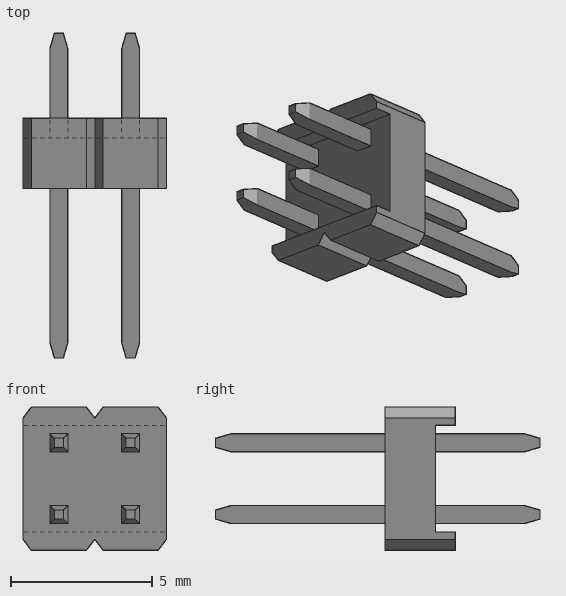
import cadquery as cq

pitch = 2.54
cells = 2
body_depth = 2.5
pin_length = 11.5
front_pin_length = 6.0
pin_width = 0.64
tip_width = 0.32
tip_length = 0.55
corner_x = 0.3
corner_z = 0.39
channel_depth = 0.7
channel_height = 3.77

body_size = cells * pitch
half_body = body_size / 2
body_front = -pin_length / 2 + front_pin_length
body_back = body_front + body_depth
cell_centers = [(i - (cells - 1) / 2) * pitch for i in range(cells)]


def make_body():
    """Octagonal cells side by side form the notched outline, with a channel across the back."""
    inner = pitch / 2 - corner_x
    top_edge = []
    for x in cell_centers:
        top_edge += [
            (x - pitch / 2, half_body - corner_z),
            (x - inner, half_body),
            (x + inner, half_body),
        ]
    top_edge.append((half_body, half_body - corner_z))
    bottom_edge = [(x, -z) for x, z in reversed(top_edge)]
    body = (
        cq.Workplane("XZ", origin=(0, body_front, 0))
        .polyline(top_edge + bottom_edge)
        .close()
        .extrude(-body_depth)
    )
    channel = cq.Workplane("XY").box(body_size, channel_depth, channel_height)
    return body.cut(channel.translate((0, body_back - channel_depth / 2, 0)))


def make_pin(x, z):
    """Square pin with a tapered tip at each end."""
    shank_end = pin_length / 2 - tip_length
    pin = cq.Workplane("XY").box(pin_width, 2 * shank_end, pin_width)
    tip = (
        cq.Workplane("XZ", origin=(0, -shank_end, 0))
        .rect(pin_width, pin_width)
        .workplane(offset=tip_length)
        .rect(tip_width, tip_width)
        .loft(ruled=True)
    )
    return pin.union(tip).union(tip.mirror("XZ")).translate((x, 0, z))


result = make_body()
for pin_x in cell_centers:
    for pin_z in cell_centers:
        result = result.union(make_pin(pin_x, pin_z))